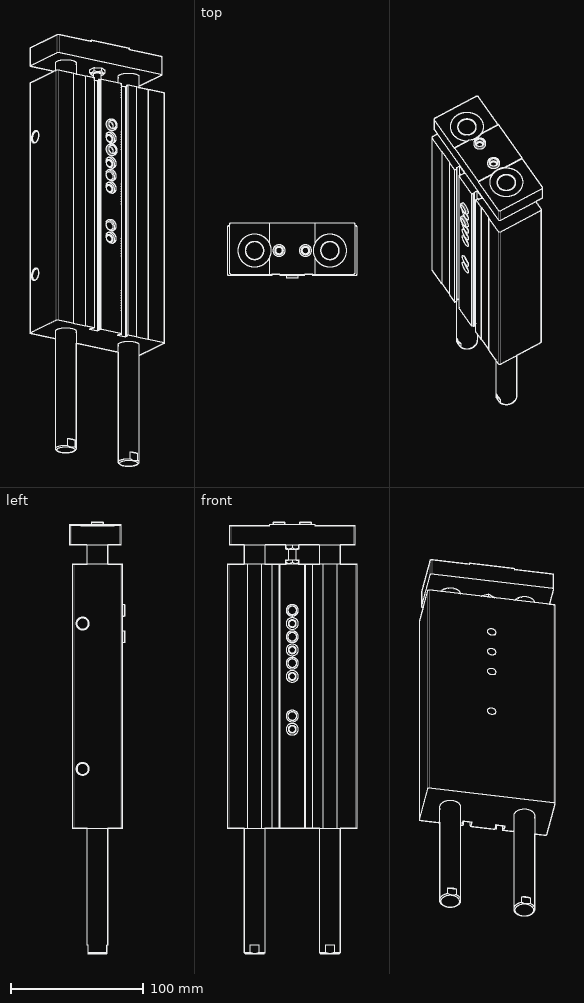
import cadquery as cq
import math


HOUSING_WIDTH = 98.0
HOUSING_DEPTH = 38.0
HOUSING_HEIGHT = 200.0
HOUSING_FILLET = 1.2
HOUSING_FRONT = -HOUSING_DEPTH / 2
CHANNEL_INNER_X = 23.1
CHANNEL_OUTER_X = 33.9
CHANNEL_DEPTH = 0.3
SLOT_INNER_X = 10.2
SLOT_OUTER_X = 15.2
SLOT_NECK_DEPTH = 2.0
SLOT_DEPTH = 5.0
SLOT_UNDERCUT = 1.0
SLOT_STEP_WIDTH = 0.9
SLOT_STEP_DEPTH = 1.0

PORT_Y = 11.2
PORT_END_DISTANCE = 45.0
PORT_DIAMETER = 8.57
PORT_MOUTH_DIAMETER = 9.73
PORT_DEPTH = 15.0
DRILL_TIP_ANGLE = 118.0

HOLE_PITCH = 10.0
TOP_HOLE_Z = HOUSING_HEIGHT - 35.0
THROUGH_HOLE_STEPS = (0, 2, 4, 8)
THREAD_HOLE_STEPS = (1, 3, 5, 9)
SLEEVE_STEPS = (0, 2)
THROUGH_HOLE_DIAMETER = 6.4
THREAD_HOLE_DIAMETER = 4.92
THREAD_HOLE_DEPTH = 10.0
THREAD_MOUTH_DIAMETER = 6.0

SLEEVE_DIAMETER = 9.0
SLEEVE_BORE = 6.4
SEAT_DEPTH = 2.1
SLEEVE_RISE = 1.8
PLATE_SLEEVE_X = 10.0
SLEEVE_FILLET = 0.6

ROD_X = 28.5
ROD_DIAMETER = 16.0
ROD_END_DIAMETER = 14.0
ROD_BOTTOM = -94.9
ROD_CHAMFER = 1.0
ROD_FLAT_WIDTH = 14.5
ROD_FLAT_HEIGHT = 6.5
PISTON_DIAMETER = 32.0
PISTON_LENGTH = 12.0
ROD_END_RECESS = 0.5
ROD_END_CHAMFER = 0.3

PLATE_GAP = 14.5
PLATE_BOTTOM = HOUSING_HEIGHT + PLATE_GAP
PLATE_THICKNESS = 14.5
PLATE_TOP = PLATE_BOTTOM + PLATE_THICKNESS
PLATE_WIDTH = 95.0
PLATE_FRONT = -18.0
PLATE_BACK = 21.0
PLATE_FILLET = 1.2
PAD_WIDTH = 34.5
PAD_HEIGHT = 1.0
SPOTFACE_DIAMETER = 25.0
SPOTFACE_DEPTH = 0.2

SCREW_DIAMETER = 6.0
HEX_ACROSS_FLATS = 10.0
NUT_HEIGHT = 3.5
SCREW_HEAD_HEIGHT = 3.0
HEX_CHAMFER_DIAMETER = 9.0

SIDES = (-1, 1)


def cylinder(diameter, length, start, direction):
    """Cylinder of the given length, starting at a point and running along a direction."""
    return cq.Workplane(
        cq.Solid.makeCylinder(diameter / 2, length, cq.Vector(*start), cq.Vector(*direction))
    )


def drilled_hole(diameter, depth, start, direction):
    """Blind hole with a pointed drill tip beyond its full-diameter depth."""
    tip_length = diameter / 2 / math.tan(math.radians(DRILL_TIP_ANGLE / 2))
    tip_start = cq.Vector(*start) + cq.Vector(*direction) * depth
    tip = cq.Solid.makeCone(diameter / 2, 0, tip_length, tip_start, cq.Vector(*direction))
    return cylinder(diameter, depth, start, direction).union(cq.Workplane(tip))


def chamfered_mouth(mouth_diameter, hole_diameter, start, direction):
    """45 degree cone that leads from a mouth into a narrower hole."""
    depth = (mouth_diameter - hole_diameter) / 2
    return cq.Workplane(
        cq.Solid.makeCone(
            mouth_diameter / 2, hole_diameter / 2, depth, cq.Vector(*start), cq.Vector(*direction)
        )
    )


def front_hole_z(step):
    return TOP_HOLE_Z - step * HOLE_PITCH


def make_guide_rod(x):
    top = PLATE_TOP - SPOTFACE_DEPTH - ROD_END_RECESS
    rod = cylinder(ROD_DIAMETER, PLATE_BOTTOM - ROD_BOTTOM, (x, 0, ROD_BOTTOM), (0, 0, 1))
    rod = rod.faces("<Z").chamfer(ROD_CHAMFER)
    end = cylinder(ROD_END_DIAMETER, top - PLATE_BOTTOM, (x, 0, PLATE_BOTTOM), (0, 0, 1))
    piston_start = (x, 0, PORT_END_DISTANCE - PISTON_LENGTH / 2)
    piston = cylinder(PISTON_DIAMETER, PISTON_LENGTH, piston_start, (0, 0, 1))
    rod = rod.union(end.faces(">Z").chamfer(ROD_END_CHAMFER)).union(piston)
    for side in SIDES:
        flat = cq.Workplane().box(
            ROD_DIAMETER, ROD_DIAMETER, ROD_FLAT_HEIGHT, centered=(True, True, False)
        )
        flat_y = side * (ROD_FLAT_WIDTH + ROD_DIAMETER) / 2
        rod = rod.cut(flat.translate((x, flat_y, ROD_BOTTOM)))
    return rod


def make_sleeve(seat_floor, direction):
    length = SEAT_DEPTH + SLEEVE_RISE
    sleeve = cylinder(SLEEVE_DIAMETER, length, seat_floor, direction).edges().fillet(SLEEVE_FILLET)
    return sleeve.cut(cylinder(SLEEVE_BORE, length, seat_floor, direction))


def front_strip(x_inner, x_outer, depth_start, depth_end):
    """Full-height bar along the front face, between two X positions and two depths."""
    bar = cq.Workplane().box(
        x_outer - x_inner, depth_end - depth_start, HOUSING_HEIGHT, centered=False
    )
    return bar.translate((x_inner, HOUSING_FRONT + depth_start, 0))


def make_housing(guide_rods):
    housing = cq.Workplane().box(
        HOUSING_WIDTH, HOUSING_DEPTH, HOUSING_HEIGHT, centered=(True, True, False)
    )
    housing = housing.edges("|Z").fillet(HOUSING_FILLET)

    channel = front_strip(CHANNEL_INNER_X, CHANNEL_OUTER_X, 0, CHANNEL_DEPTH)
    slot = front_strip(SLOT_INNER_X, SLOT_OUTER_X, 0, SLOT_DEPTH).union(
        front_strip(
            SLOT_INNER_X - SLOT_UNDERCUT, SLOT_OUTER_X + SLOT_UNDERCUT, SLOT_NECK_DEPTH, SLOT_DEPTH
        )
    )
    slot_step = front_strip(SLOT_INNER_X - SLOT_STEP_WIDTH, SLOT_INNER_X, 0, SLOT_STEP_DEPTH)
    for groove in (channel, slot, slot_step):
        housing = housing.cut(groove).cut(groove.mirror("YZ"))

    for z in (PORT_END_DISTANCE, HOUSING_HEIGHT - PORT_END_DISTANCE):
        start = (-HOUSING_WIDTH / 2, PORT_Y, z)
        housing = housing.cut(drilled_hole(PORT_DIAMETER, PORT_DEPTH, start, (1, 0, 0)))
        housing = housing.cut(chamfered_mouth(PORT_MOUTH_DIAMETER, PORT_DIAMETER, start, (1, 0, 0)))

    for step in THROUGH_HOLE_STEPS + THREAD_HOLE_STEPS:
        start = (0, HOUSING_FRONT, front_hole_z(step))
        housing = housing.cut(cylinder(SLEEVE_DIAMETER, SEAT_DEPTH, start, (0, 1, 0)))
        if step in THROUGH_HOLE_STEPS:
            hole = cylinder(THROUGH_HOLE_DIAMETER, HOUSING_DEPTH, start, (0, 1, 0))
        else:
            hole = drilled_hole(THREAD_HOLE_DIAMETER, THREAD_HOLE_DEPTH, start, (0, 1, 0))
            seat_floor = (0, HOUSING_FRONT + SEAT_DEPTH, front_hole_z(step))
            hole = hole.union(
                chamfered_mouth(THREAD_MOUTH_DIAMETER, THREAD_HOLE_DIAMETER, seat_floor, (0, 1, 0))
            )
        housing = housing.cut(hole)

    for rod in guide_rods:
        housing = housing.cut(rod)
    return housing


def hex_prism(z, height):
    """Hexagon with two corners pointing along Y."""
    corner_diameter = HEX_ACROSS_FLATS / math.cos(math.pi / 6)
    prism = cq.Workplane().polygon(6, corner_diameter).extrude(height)
    return prism.rotate((0, 0, 0), (0, 0, 1), 30).translate((0, 0, z))


def chamfered_hex(z, height):
    """Hexagon whose lower corners are turned off to a cone."""
    cone = cq.Solid.makeCone(
        HEX_CHAMFER_DIAMETER / 2, HEX_CHAMFER_DIAMETER / 2 + height, height, cq.Vector(0, 0, z)
    )
    return hex_prism(z, height).intersect(cq.Workplane(cone))


def make_end_plate():
    depth = PLATE_BACK - PLATE_FRONT
    middle_y = (PLATE_BACK + PLATE_FRONT) / 2
    blank = cq.Workplane().box(PLATE_WIDTH, depth, PLATE_THICKNESS, centered=(True, True, False))
    blank = blank.edges("|Z").fillet(PLATE_FILLET)
    plate = blank.translate((0, middle_y, PLATE_BOTTOM))
    pad = cq.Workplane().box(PAD_WIDTH, depth, PAD_HEIGHT, centered=(True, True, False))
    plate = plate.union(pad.translate((0, middle_y, PLATE_TOP)))

    for side in SIDES:
        spotface_start = (side * ROD_X, 0, PLATE_TOP - SPOTFACE_DEPTH)
        spotface = cylinder(SPOTFACE_DIAMETER, SPOTFACE_DEPTH + PAD_HEIGHT, spotface_start, (0, 0, 1))
        plate = plate.cut(spotface)
        rod_hole_start = (side * ROD_X, 0, PLATE_BOTTOM)
        plate = plate.cut(cylinder(ROD_END_DIAMETER, PLATE_THICKNESS, rod_hole_start, (0, 0, 1)))
        start = (side * PLATE_SLEEVE_X, 0, PLATE_TOP + PAD_HEIGHT)
        plate = plate.cut(cylinder(SLEEVE_DIAMETER, SEAT_DEPTH, start, (0, 0, -1)))
        plate = plate.cut(cylinder(THREAD_HOLE_DIAMETER, THREAD_HOLE_DEPTH, start, (0, 0, -1)))

    screw = cylinder(SCREW_DIAMETER, PLATE_GAP, (0, 0, HOUSING_HEIGHT), (0, 0, 1))
    nut = chamfered_hex(PLATE_BOTTOM - NUT_HEIGHT, NUT_HEIGHT)
    head = chamfered_hex(HOUSING_HEIGHT, SCREW_HEAD_HEIGHT)
    return plate.union(screw).union(nut).union(head)


guide_rods = [make_guide_rod(side * ROD_X) for side in SIDES]
housing = make_housing(guide_rods)
end_plate = make_end_plate()

housing_sleeves = [
    make_sleeve((0, HOUSING_FRONT + SEAT_DEPTH, front_hole_z(step)), (0, -1, 0))
    for step in SLEEVE_STEPS
]
plate_sleeves = [
    make_sleeve((side * PLATE_SLEEVE_X, 0, PLATE_TOP + PAD_HEIGHT - SEAT_DEPTH), (0, 0, 1))
    for side in SIDES
]

bodies = [housing, end_plate, *guide_rods, *housing_sleeves, *plate_sleeves]
result = cq.Compound.makeCompound([body.val() for body in bodies])